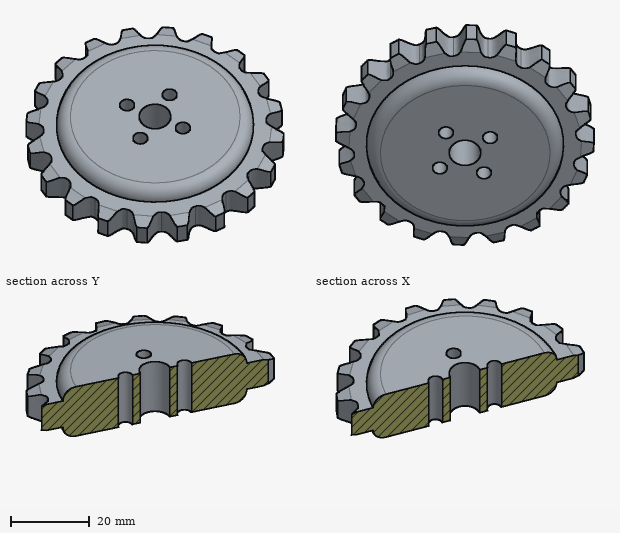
import cadquery as cq
import math

TOOTH_COUNT = 20
FIRST_TOOTH_ANGLE = 4.0
TOOTH_STEP = 360 / TOOTH_COUNT

TIP_HEIGHT = 32.705
ROOT_RADIUS = 28.28
SEAT_RADIUS = 2.38
SEAT_HALF_ANGLE = 63.1
FLANK_LENGTH = 2.3
TIP_ROUND_RADIUS = 3.0

TOOTH_THICKNESS = 8.0
TIP_THICKNESS = 6.0
TOTAL_THICKNESS = 15.0
BEVEL_START = 29.4

HUB_DIAMETER = 50.0
HUB_ROUND_RADIUS = (TOTAL_THICKNESS - TOOTH_THICKNESS) / 2
BORE_DIAMETER = 8.0
BOLT_DIAMETER = 3.7
BOLT_CIRCLE_DIAMETER = 16.0
BOLT_COUNT = 4


def offset(point, distance, angle):
    """Point at a distance from another one, in a direction given in radians."""
    return (point[0] + distance * math.cos(angle), point[1] + distance * math.sin(angle))


def rotated(point, angle):
    """Point turned about the axis by an angle in degrees."""
    turn = math.radians(angle)
    return (
        point[0] * math.cos(turn) - point[1] * math.sin(turn),
        point[0] * math.sin(turn) + point[1] * math.cos(turn),
    )


def add_curve(outline, points, end_tangents, angle):
    """Continue an outline along a tooth side turned about the axis; it already ends at points[0]."""
    return outline.spline(
        [rotated(point, angle) for point in points[1:]],
        tangents=[rotated(tangent, angle) for tangent in end_tangents],
        includeCurrent=True,
    )


def tooth_side():
    """Upper side of a tooth along +X.

    Gives its points from the gap bottom to the tip corner, and the direction of its outward
    normal at the tip corner in radians.
    """
    gap_direction = math.radians(TOOTH_STEP / 2)
    seat_center = offset((0, 0), ROOT_RADIUS + SEAT_RADIUS, gap_direction)
    gap_bottom = offset((0, 0), ROOT_RADIUS, gap_direction)

    seat_sweep = math.radians(SEAT_HALF_ANGLE)
    normal = gap_direction + math.pi + seat_sweep
    seat_middle = offset(seat_center, SEAT_RADIUS, normal - seat_sweep / 2)
    seat_end = offset(seat_center, SEAT_RADIUS, normal)
    flank_middle = offset(seat_end, FLANK_LENGTH / 2, normal + math.pi / 2)
    flank_end = offset(seat_end, FLANK_LENGTH, normal + math.pi / 2)

    round_center = offset(flank_end, TIP_ROUND_RADIUS, normal)
    round_end = math.acos((TIP_HEIGHT - round_center[0]) / TIP_ROUND_RADIUS)
    round_start = normal - math.pi
    round_middle = offset(round_center, TIP_ROUND_RADIUS, (round_start + round_end) / 2)
    tip_corner = offset(round_center, TIP_ROUND_RADIUS, round_end)
    side = [gap_bottom, seat_middle, seat_end, flank_middle, flank_end, round_middle, tip_corner]
    return side, round_end


def toothed_plate():
    """Plate whose tooth sides are smooth curves, each running from a gap bottom to a tip corner."""
    side, round_end = tooth_side()
    tip_direction = offset((0, 0), 1, round_end + math.pi / 2)
    bottom_direction = offset((0, 0), 1, math.radians(TOOTH_STEP / 2) + math.pi / 2)
    falling_side = side[::-1]
    falling_tangents = [tip_direction, bottom_direction]
    rising_side = [(x, -y) for x, y in side]
    rising_tangents = [(-x, y) for x, y in (bottom_direction, tip_direction)]

    outline = cq.Workplane("XY", origin=(0, 0, -TOOTH_THICKNESS / 2))
    outline = outline.moveTo(*rotated(rising_side[0], FIRST_TOOTH_ANGLE))
    for index in range(TOOTH_COUNT):
        angle = FIRST_TOOTH_ANGLE + index * TOOTH_STEP
        outline = add_curve(outline, rising_side, rising_tangents, angle)
        outline = outline.lineTo(*rotated(falling_side[0], angle))
        outline = add_curve(outline, falling_side, falling_tangents, angle)
    return outline.close().extrude(TOOTH_THICKNESS)


def bevel_cutters():
    """Wedges that thin every tooth toward its tip on both faces."""
    half_width = ROOT_RADIUS * math.sin(math.radians(TOOTH_STEP / 2))
    slope = (TOOTH_THICKNESS - TIP_THICKNESS) / 2 / (TIP_HEIGHT - BEVEL_START)
    clearance = 1.0
    outer = TIP_HEIGHT + clearance
    face = TOOTH_THICKNESS / 2
    wedge = (
        cq.Workplane("XZ")
        .moveTo(BEVEL_START, face)
        .lineTo(outer, face - slope * (outer - BEVEL_START))
        .lineTo(outer, face)
        .close()
        .extrude(half_width, both=True)
    )
    pair = wedge.add(wedge.mirror("XY"))
    cutters = cq.Workplane("XY")
    for index in range(TOOTH_COUNT):
        angle = FIRST_TOOTH_ANGLE + index * TOOTH_STEP
        for cutter in pair.vals():
            cutters = cutters.add(cutter.rotate(cq.Vector(0, 0, 0), cq.Vector(0, 0, 1), angle))
    return cq.Workplane(cq.Compound.makeCompound(cutters.vals()))


def hub():
    disc = cq.Workplane("XY", origin=(0, 0, -TOTAL_THICKNESS / 2))
    disc = disc.circle(HUB_DIAMETER / 2).extrude(TOTAL_THICKNESS)
    return disc.faces("|Z").edges().fillet(HUB_ROUND_RADIUS)


def holes():
    base = cq.Workplane("XY", origin=(0, 0, -TOTAL_THICKNESS / 2))
    bore = base.circle(BORE_DIAMETER / 2).extrude(TOTAL_THICKNESS)
    bolts = (
        base.polarArray(BOLT_CIRCLE_DIAMETER / 2, 0, 360, BOLT_COUNT)
        .circle(BOLT_DIAMETER / 2)
        .extrude(TOTAL_THICKNESS)
    )
    return bore.union(bolts)


result = toothed_plate().cut(bevel_cutters()).union(hub()).cut(holes())